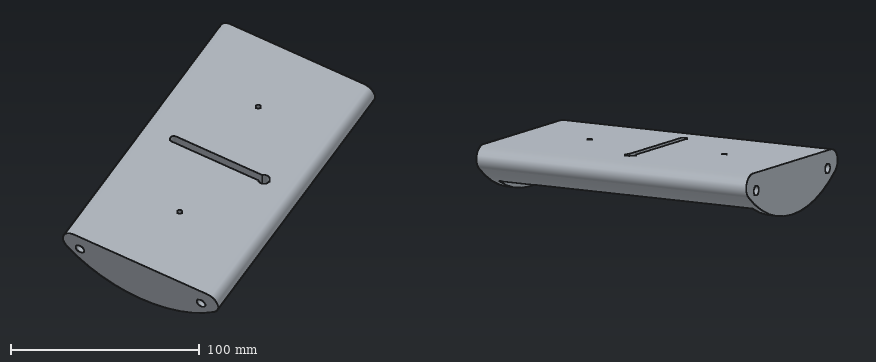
import cadquery as cq
import math

length = 166.0
width = 95.0
height = 28.7

side_radius = 7.0

end_plate_thickness = 5.1
body_height = 20.8

end_hole_diameter = 5.1
end_hole_spacing = 74.0
end_hole_depth = 9.8

screw_hole_diameter = 2.7
screw_hole_spacing = length / 2

slot_width = 4.2
keyhole_diameter = 6.1
slot_half_run = 27.5


def make_profile_body():
    """Extrude the cross-section, its side arcs tangent to the top and belly."""
    side_x = width / 2 - side_radius
    side_drop = height - side_radius
    belly_radius = (side_x**2 + side_drop**2 - side_radius**2) / (2 * (side_drop - side_radius))
    belly_centre_z = belly_radius - height

    tangent_angle = math.atan2(-side_radius - belly_centre_z, side_x)
    tangent_x = belly_radius * math.cos(tangent_angle)
    tangent_z = belly_centre_z + belly_radius * math.sin(tangent_angle)

    return (
        cq.Workplane("XZ")
        .moveTo(-side_x, 0)
        .lineTo(side_x, 0)
        .threePointArc((width / 2, -side_radius), (tangent_x, tangent_z))
        .threePointArc((0, -height), (-tangent_x, tangent_z))
        .threePointArc((-width / 2, -side_radius), (-side_x, 0))
        .close()
        .extrude(length / 2, both=True)
    )


def make_belly_cut():
    """Block that removes the belly between the two end plates."""
    gap_length = length - 2 * end_plate_thickness
    return (
        cq.Workplane("XY")
        .workplane(offset=-body_height)
        .rect(width, gap_length)
        .extrude(body_height - height)
    )


def make_end_holes():
    """Pair of holes running the full length."""
    half_spacing = end_hole_spacing / 2
    return (
        cq.Workplane("XZ")
        .pushPoints([(-half_spacing, -end_hole_depth), (half_spacing, -end_hole_depth)])
        .circle(end_hole_diameter / 2)
        .extrude(length / 2, both=True)
    )


def make_screw_holes():
    """Pair of vertical through holes on the long centre line."""
    half_spacing = screw_hole_spacing / 2
    return (
        cq.Workplane("XY")
        .pushPoints([(0, -half_spacing), (0, half_spacing)])
        .circle(screw_hole_diameter / 2)
        .extrude(-height)
    )


def make_keyhole_slot():
    """Round-ended through slot that opens into a larger hole at its +X end."""
    slot = cq.Workplane("XY").slot2D(2 * slot_half_run + slot_width, slot_width).extrude(-height)
    keyhole = cq.Workplane("XY").center(slot_half_run, 0).circle(keyhole_diameter / 2).extrude(-height)
    return slot.union(keyhole)


result = (
    make_profile_body()
    .cut(make_belly_cut())
    .cut(make_end_holes())
    .cut(make_screw_holes())
    .cut(make_keyhole_slot())
)